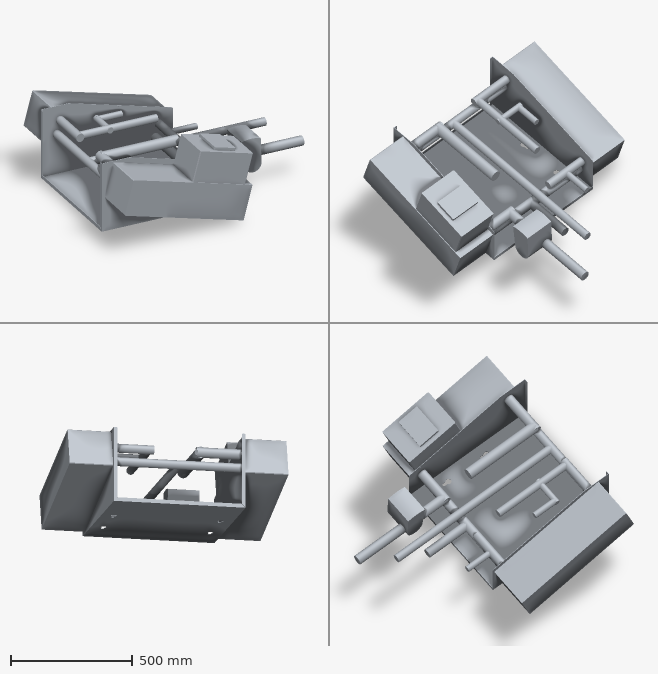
import cadquery as cq
import math

OVERALL_WIDTH = 922.0
OVERALL_DEPTH = 1000.0
TILT = math.radians(15)

SHEET = 2.0
TRAY_WIDTH = 555.0
TRAY_DEPTH = 610.0
TRAY_HEIGHT = 314.0
SIDE_FLAT = 128.0
SIDE_CORNER_RADIUS = 12.0
LIP_WIDTH = 16.0
LIP_CORNER_CHAMFER = 3.0
MITRE_GAP = 0.5
INNER_X = TRAY_WIDTH / 2 - SHEET
REAR_SIDE_HEIGHT = TRAY_HEIGHT - (TRAY_DEPTH - SIDE_FLAT) * math.tan(TILT)

KEYHOLE_DIAMETER = 25.0
KEYHOLE_SLOT_WIDTH = 13.0
KEYHOLE_REACH = 30.0
KEYHOLE_X = 225.0
KEYHOLE_ROWS = (244.0, 444.0)

SCREW_HOLE_DIAMETER = 3.6
SCREW_HOLE_INSET = 8.0
SCREW_HOLE_ROWS = (358.0, 455.0, 552.0)

BOX_WIDTH = (OVERALL_WIDTH - TRAY_WIDTH) / 2
BOX_LENGTH = 568.0
BOX_HEIGHT = 160.0
BOX_REAR_TOP_Y = 603.0
BOX_REAR_TOP_Z = 161.0
BOX_EDGE_CHAMFER = 3.0

CONTROL_LENGTH = 252.0
CONTROL_HEIGHT = 139.0
CONTROL_SETBACK = 32.0
CONTROL_SIDE_INSET = 3.0
CONTROL_EDGE_CHAMFER = 3.5
PANEL_WIDTH = 142.0
PANEL_LENGTH = 100.0
PANEL_THICKNESS = 13.0
PANEL_SETBACK = 77.0
PANEL_CORNER_RADIUS = 4.0

FRONT_UPPER = (88.0, 247.0)
FRONT_LOWER = (73.0, 186.0)
REAR_UPPER = (544.0, 126.0)
REAR_LOWER = (528.0, 65.0)

FRONT_CROSS_DIAMETER = 37.0
REAR_CROSS_DIAMETER = 42.0
FRONT_LEFT_DIAMETER = 37.0
FRONT_LEFT_END = -91.0
REAR_LEFT_DIAMETER = 37.0
REAR_LEFT_END = -85.0
FRONT_RIGHT_DIAMETER = 43.0
FRONT_RIGHT_END = 88.0
REAR_RIGHT_DIAMETER = 42.0
REAR_RIGHT_END = 111.0

FRONT_CROSS_ROD = {"x": 11.0, "y_end": 888.0, "diameter": 36.0}
REAR_CROSS_ROD = {"x": -3.0, "y_end": 737.0, "diameter": 40.0}
FRONT_LEFT_ROD = {"x": -111.0, "y_end": 450.0, "diameter": 34.0}
REAR_LEFT_ROD = {"x": -185.0, "y_end": 672.0, "diameter": 27.0}
FRONT_RIGHT_ROD = {"x": 107.0, "y_end": 434.0, "diameter": 48.0}
REAR_RIGHT_ROD = {"x": 129.0, "y_end": OVERALL_DEPTH, "diameter": 43.0}
ELBOW_OVERLAP = 5.0

BRANCH_Y = 229.0
BRANCH_DIAMETER = 27.0
BRANCH_LEFT = -224.0
BRANCH_RIGHT = -94.0
BRANCH_ROD = {"x": -211.0, "y_end": 339.0, "diameter": 27.0}

HANDLE_LEFT = 95.0
HANDLE_WIDTH = 133.0
HANDLE_TOP_FRONT = (671.0, 236.0)
HANDLE_CROWN = (715.0, 243.0)
HANDLE_TOP_REAR = (759.0, 236.0)
HANDLE_SIDE_REAR = (763.0, 124.0)
HANDLE_BOTTOM = (724.0, 86.0)
HANDLE_SIDE_FRONT = (684.0, 124.0)


def box_between(x_range, y_range, z_range):
    """Block that fills the given ranges."""
    size = [high - low for low, high in (x_range, y_range, z_range)]
    corner = (x_range[0], y_range[0], z_range[0])
    return cq.Workplane("XY").box(*size, centered=False).translate(corner)


def tray_side(outer_x):
    """Side sheet with a sloping top, extruded toward +X from outer_x."""
    rear_top = (outer_x, TRAY_DEPTH, REAR_SIDE_HEIGHT)
    outline = [
        (0, 0),
        (TRAY_DEPTH, 0),
        (TRAY_DEPTH, REAR_SIDE_HEIGHT),
        (SIDE_FLAT, TRAY_HEIGHT),
        (0, TRAY_HEIGHT),
    ]
    side = cq.Workplane("YZ", origin=(outer_x, 0, 0)).polyline(outline).close().extrude(SHEET)
    rear_top_edge = cq.selectors.NearestToPointSelector(rear_top)
    return side.edges("|X").edges(rear_top_edge).fillet(SIDE_CORNER_RADIUS)


def front_lip():
    """U-shaped lip around the open front of the tray, with mitred lower corners."""
    half = TRAY_WIDTH / 2
    inner = half - LIP_WIDTH
    bevel = LIP_CORNER_CHAMFER
    right_half = [
        (inner, LIP_WIDTH),
        (inner, TRAY_HEIGHT - bevel),
        (inner + bevel, TRAY_HEIGHT),
        (half, TRAY_HEIGHT),
        (half, 0),
    ]
    left_half = [(-x, z) for x, z in reversed(right_half)]
    lip = cq.Workplane("XZ").polyline(right_half + left_half).close().extrude(-SHEET)
    slit_length = (LIP_WIDTH - SHEET) * math.sqrt(2)
    slit_x = inner + (LIP_WIDTH - SHEET) / 2
    slit_z = (LIP_WIDTH + SHEET) / 2
    for side in (-1, 1):
        slit = (
            cq.Workplane("XY")
            .box(slit_length, 2 * SHEET, MITRE_GAP)
            .rotate((0, 0, 0), (0, 1, 0), side * 45)
            .translate((side * slit_x, SHEET / 2, slit_z))
        )
        lip = lip.cut(slit)
    return lip


def rear_lip():
    """Low lip along the rear edge of the tray floor."""
    return box_between((-INNER_X, INNER_X), (TRAY_DEPTH - SHEET, TRAY_DEPTH), (0, LIP_WIDTH))


def keyhole(x, y):
    slot_length = KEYHOLE_REACH - KEYHOLE_SLOT_WIDTH / 2
    slot = (
        cq.Workplane("XY").center(x, y + slot_length / 2)
        .slot2D(slot_length + KEYHOLE_SLOT_WIDTH, KEYHOLE_SLOT_WIDTH, 90)
        .extrude(SHEET)
    )
    return cq.Workplane("XY").center(x, y).circle(KEYHOLE_DIAMETER / 2).extrude(SHEET).union(slot)


def screw_holes():
    """Row of small holes through both tray sides."""
    def below_edge(y):
        return TRAY_HEIGHT - (y - SIDE_FLAT) * math.tan(TILT) - SCREW_HOLE_INSET / math.cos(TILT)

    centres = [(y, below_edge(y)) for y in SCREW_HOLE_ROWS]
    return (
        cq.Workplane("YZ", origin=(-TRAY_WIDTH / 2, 0, 0))
        .pushPoints(centres)
        .circle(SCREW_HOLE_DIAMETER / 2)
        .extrude(TRAY_WIDTH)
    )


def make_tray():
    tray = box_between((-TRAY_WIDTH / 2, TRAY_WIDTH / 2), (0, TRAY_DEPTH), (0, SHEET))
    tray = tray.union(tray_side(-TRAY_WIDTH / 2)).union(tray_side(INNER_X))
    tray = tray.union(front_lip()).union(rear_lip())
    for x in (-KEYHOLE_X, KEYHOLE_X):
        for y in KEYHOLE_ROWS:
            tray = tray.cut(keyhole(x, y))
    return tray.cut(screw_holes())


def tilt_into_place(shape):
    """Moves a shape built from the level rear top edge of a box onto the sloping one."""
    return (
        shape.rotate((0, 0, 0), (1, 0, 0), -math.degrees(TILT))
        .translate((0, BOX_REAR_TOP_Y, BOX_REAR_TOP_Z))
    )


def make_side_box(x_start):
    box = box_between((x_start, x_start + BOX_WIDTH), (-BOX_LENGTH, 0), (-BOX_HEIGHT, 0))
    return tilt_into_place(box.faces("<Y").edges("|X").chamfer(BOX_EDGE_CHAMFER))


def make_control_unit():
    left = TRAY_WIDTH / 2
    right = OVERALL_WIDTH / 2 - CONTROL_SIDE_INSET
    rear = -CONTROL_SETBACK
    unit = (
        box_between((left, right), (rear - CONTROL_LENGTH, rear), (0, CONTROL_HEIGHT))
        .edges("|Z").chamfer(CONTROL_EDGE_CHAMFER)
    )
    middle = (left + right) / 2
    panel_rear = rear - PANEL_SETBACK
    panel = box_between(
        (middle - PANEL_WIDTH / 2, middle + PANEL_WIDTH / 2),
        (panel_rear - PANEL_LENGTH, panel_rear),
        (CONTROL_HEIGHT, CONTROL_HEIGHT + PANEL_THICKNESS),
    ).edges("|Z").fillet(PANEL_CORNER_RADIUS)
    return tilt_into_place(unit.union(panel))


def make_housing(shafts):
    """Tray with both boxes and the control unit; its side sheets have holes for the shafts."""
    tray = make_tray()
    for bar in shafts:
        tray = tray.cut(bar)
    housing = tray.union(make_side_box(-OVERALL_WIDTH / 2))
    housing = housing.union(make_side_box(TRAY_WIDTH / 2))
    return housing.union(make_control_unit())


def shaft(axis, x_start, x_end, diameter):
    """Round bar along X on an axis given as (Y, Z)."""
    return (
        cq.Workplane("YZ", origin=(x_start, 0, 0))
        .center(*axis)
        .circle(diameter / 2)
        .extrude(x_end - x_start)
    )


def rod(axis, x, y_end, diameter, overlap=0.0):
    """Round bar along +Y from a shaft axis given as (Y, Z), or from slightly in front of it."""
    y_start = axis[0] - overlap
    z = axis[1]
    return (
        cq.Workplane("XZ", origin=(x, y_start, z))
        .circle(diameter / 2)
        .extrude(y_start - y_end)
    )


def make_front_cross_shaft():
    bar = shaft(FRONT_LOWER, -TRAY_WIDTH / 2, TRAY_WIDTH / 2, FRONT_CROSS_DIAMETER)
    return bar.union(rod(FRONT_LOWER, **FRONT_CROSS_ROD))


def make_rear_cross_shaft():
    bar = shaft(REAR_LOWER, -TRAY_WIDTH / 2, TRAY_WIDTH / 2, REAR_CROSS_DIAMETER)
    return bar.union(rod(REAR_LOWER, **REAR_CROSS_ROD))


def make_rear_left_shaft():
    bar = shaft(REAR_UPPER, -TRAY_WIDTH / 2, REAR_LEFT_END, REAR_LEFT_DIAMETER)
    return bar.union(rod(REAR_UPPER, **REAR_LEFT_ROD))


def make_front_left_shaft():
    bar = shaft(FRONT_UPPER, -TRAY_WIDTH / 2, FRONT_LEFT_END, FRONT_LEFT_DIAMETER)
    bar = bar.union(rod(FRONT_UPPER, **FRONT_LEFT_ROD))
    branch_axis = (BRANCH_Y, FRONT_UPPER[1])
    bar = bar.union(shaft(branch_axis, BRANCH_LEFT, BRANCH_RIGHT, BRANCH_DIAMETER))
    return bar.union(rod(branch_axis, **BRANCH_ROD, overlap=ELBOW_OVERLAP))


def make_front_right_shaft():
    bar = shaft(FRONT_UPPER, FRONT_RIGHT_END, TRAY_WIDTH / 2, FRONT_RIGHT_DIAMETER)
    return bar.union(rod(FRONT_UPPER, **FRONT_RIGHT_ROD, overlap=ELBOW_OVERLAP))


def make_handle():
    return (
        cq.Workplane("YZ", origin=(HANDLE_LEFT, 0, 0))
        .moveTo(*HANDLE_TOP_FRONT)
        .threePointArc(HANDLE_CROWN, HANDLE_TOP_REAR)
        .lineTo(*HANDLE_SIDE_REAR)
        .threePointArc(HANDLE_BOTTOM, HANDLE_SIDE_FRONT)
        .close()
        .extrude(HANDLE_WIDTH)
    )


def make_rear_right_shaft():
    bar = shaft(REAR_UPPER, REAR_RIGHT_END, TRAY_WIDTH / 2, REAR_RIGHT_DIAMETER)
    bar = bar.union(rod(REAR_UPPER, **REAR_RIGHT_ROD, overlap=ELBOW_OVERLAP))
    return bar.union(make_handle())


front_cross_shaft = make_front_cross_shaft()
rear_cross_shaft = make_rear_cross_shaft()
front_left_shaft = make_front_left_shaft()
rear_left_shaft = make_rear_left_shaft()
front_right_shaft = make_front_right_shaft()
rear_right_shaft = make_rear_right_shaft()
shafts = [
    front_cross_shaft,
    rear_cross_shaft,
    front_left_shaft,
    rear_left_shaft,
    front_right_shaft,
    rear_right_shaft,
]
housing = make_housing(shafts)

result = cq.Compound.makeCompound([housing.val(), *[bar.val() for bar in shafts]])